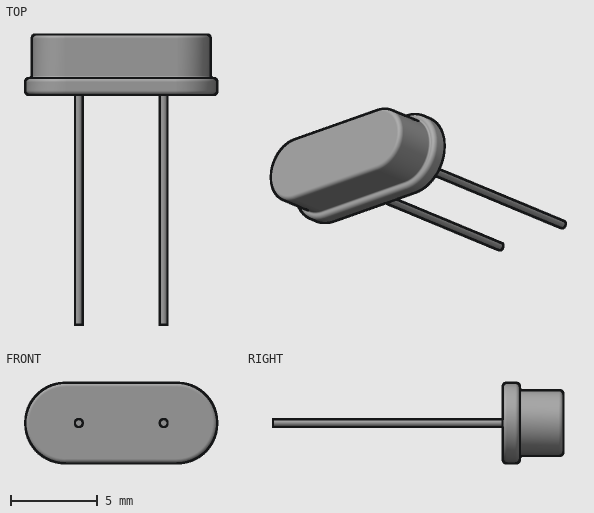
import cadquery as cq

base_length = 11.05
base_height = 4.65
base_thickness = 1.0
base_edge_radius = 0.25

can_length = 10.3
can_height = 3.8
can_depth = 2.5
can_edge_radius = 0.25
can_foot_radius = 0.1

lead_spacing = 4.88
lead_diameter = 0.46
lead_length = 13.2
seal_diameter = 1.0


def stadium(length, height, depth):
    """Upright stadium prism from the Y = 0 plane towards +Y."""
    return cq.Workplane("XZ").slot2D(length, height).extrude(-depth)


def base():
    """Flange with both rims rounded; its lead side lies on Y = 0."""
    body = stadium(base_length, base_height, base_thickness)
    return body.faces("<Y or >Y").edges().fillet(base_edge_radius)


def can():
    """Can with a rounded closed end, rising from the middle of the flange."""
    body = stadium(can_length, can_height, base_thickness + can_depth)
    return body.faces(">Y").edges().fillet(can_edge_radius)


def housing():
    """Flange and can joined, with a small fillet around the foot of the can."""
    body = base().union(can())
    flange_back = cq.NearestToPointSelector((0, base_thickness, 0))
    foot = body.faces(flange_back).wires(cq.selectors.LengthNthSelector(0)).edges()
    return foot.fillet(can_foot_radius)


def rod(x, diameter, start, end):
    """Round rod parallel to Y at the given X, from Y = start to Y = end."""
    profile = cq.Workplane("XZ", origin=(x, start, 0)).circle(diameter / 2)
    return profile.extrude(start - end)


result = housing()
for side in (-1, 1):
    lead_x = side * lead_spacing / 2
    seal = rod(lead_x, seal_diameter, 0, base_thickness)
    lead = rod(lead_x, lead_diameter, base_thickness, -lead_length)
    result = result.cut(seal, clean=False).union(seal, clean=False).union(lead, clean=False)